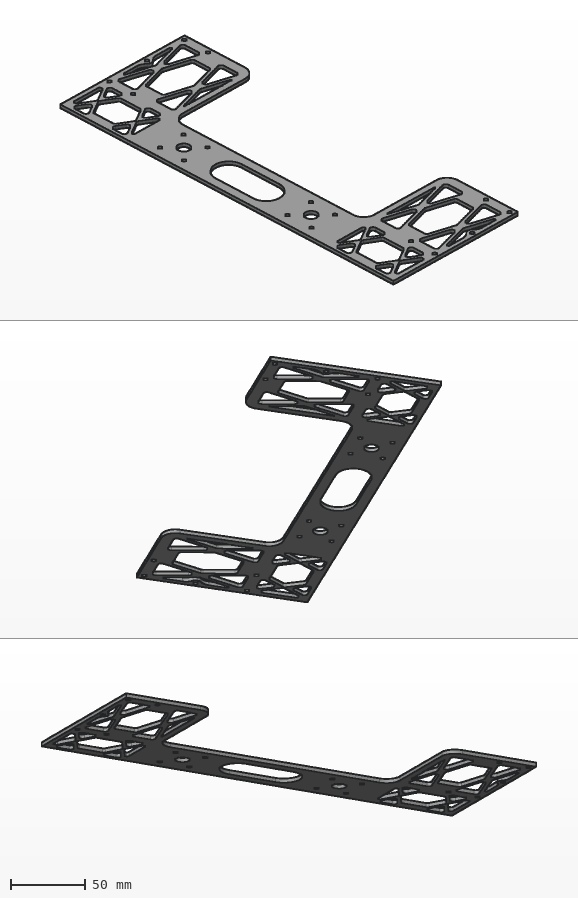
import cadquery as cq
import math

length = 314.0
depth = 120.0
thickness = 3.0
arm_width = 67.0
bridge_depth = 40.0
arm_corner_radius = 10.0

bridge_middle = bridge_depth / 2
slot_length = 60.0
slot_width = 24.8
motor_offset = 60.0
shaft_hole_diameter = 10.0
screw_hole_diameter = 3.0
motor_screw_pitch = 22.5

outer_screw_inset = 3.8
inner_screw_inset = 26.0
screw_row_pitch = 36.0
middle_screw_y = 79.8

node_inset = 15.0
node_pitch = 36.0
panel_inner_border = 61.5
corner_radius = 2.0
triangle_corner_radius = 2.32

rear_panel = {
    "middle_y": middle_screw_y,
    "slope": 0.29,
    "strut_width": 2.8,
    "triangle_half_depth": 31.7,
    "apex_gap": 0.0,
    "hexagon_half_depth": 23.0,
    "outer_border": 3.8,
    "outer_tip_radius": 0.7,
    "inner_tip_radius": 0.38,
}
front_panel = {
    "middle_y": 21.0,
    "slope": 0.59,
    "strut_width": 2.65,
    "triangle_half_depth": 18.0,
    "apex_gap": 4.5,
    "hexagon_half_depth": 13.0,
    "outer_border": 4.0,
    "outer_tip_radius": 1.0,
    "inner_tip_radius": 1.32,
}

lug_radius = 4.0
lug_blend_radius = 8.8


def make_plate():
    notch_half = length / 2 - arm_width
    plate = (
        cq.Workplane("XY")
        .rect(length, depth)
        .extrude(thickness)
        .translate((0, depth / 2, 0))
    )
    notch = (
        cq.Workplane("XY")
        .rect(2 * notch_half, depth)
        .extrude(thickness)
        .translate((0, bridge_depth + depth / 2, 0))
    )
    plate = plate.cut(notch)
    for x in (-notch_half, notch_half):
        for y in (bridge_depth, depth):
            corner = cq.NearestToPointSelector((x, y, thickness / 2))
            plate = plate.edges("|Z").edges(corner).fillet(arm_corner_radius)
    return plate


def round_holes(points, diameter):
    return cq.Workplane("XY").pushPoints(points).circle(diameter / 2).extrude(thickness)


def rounded_prism(points, radius):
    return cq.Workplane("XY").polyline(points).close().extrude(thickness).edges("|Z").fillet(radius)


def cut_bridge(plate):
    slot = (
        cq.Workplane("XY")
        .center(0, bridge_middle)
        .slot2D(slot_length, slot_width)
        .extrude(thickness)
    )
    plate = plate.cut(slot)
    half = motor_screw_pitch / 2
    for x in (-motor_offset, motor_offset):
        screws = [(x + i * half, bridge_middle + j * half) for i in (-1, 1) for j in (-1, 1)]
        plate = plate.cut(round_holes([(x, bridge_middle)], shaft_hole_diameter))
        plate = plate.cut(round_holes(screws, screw_hole_diameter))
    return plate


def panel_openings(panel):
    """Triangles, centre hexagon, outer side and inner side openings of one truss panel."""
    y = panel["middle_y"]
    slope = panel["slope"]
    half = panel["hexagon_half_depth"]
    first = node_inset
    second = node_inset + node_pitch
    triangle_half_width = slope * (panel["triangle_half_depth"] - panel["apex_gap"])
    node_half = panel["strut_width"] * math.sqrt(1 + slope**2) - slope * panel["apex_gap"]
    reach = node_half + slope * half

    triangles = []
    for node in (first, second):
        for side in (-1, 1):
            base_y = y + side * panel["triangle_half_depth"]
            corners = [
                (node - triangle_half_width, base_y),
                (node + triangle_half_width, base_y),
                (node, y + side * panel["apex_gap"]),
            ]
            triangles.append(rounded_prism(corners, triangle_corner_radius))

    hexagon = rounded_prism(
        [
            (first + node_half, y),
            (first + reach, y + half),
            (second - reach, y + half),
            (second - node_half, y),
            (second - reach, y - half),
            (first + reach, y - half),
        ],
        corner_radius,
    )

    def side_opening(border, node, direction, tip_radius):
        corners = [
            (border, y - half),
            (border, y + half),
            (node + direction * reach, y + half),
            (node + direction * node_half, y),
            (node + direction * reach, y - half),
        ]
        prism = cq.Workplane("XY").polyline(corners).close().extrude(thickness)
        tips = prism.edges("|Z").filter(lambda edge: abs(edge.Center().y - y) > half / 2)
        prism = tips.fillet(tip_radius)
        node_corner = cq.NearestToPointSelector((node + direction * node_half, y, thickness / 2))
        prism = prism.edges("|Z").edges(node_corner).fillet(corner_radius)
        return prism

    outer = side_opening(panel["outer_border"], first, -1, panel["outer_tip_radius"])
    inner = side_opening(panel_inner_border, second, 1, panel["inner_tip_radius"])
    return triangles + [hexagon, inner], outer


def leave_lug(opening):
    """Keep a round lug in the opening and blend it into the outer border."""
    border = rear_panel["outer_border"]
    lug = round_holes([(outer_screw_inset, middle_screw_y)], 2 * lug_radius)
    opening = opening.cut(lug)
    rise = math.sqrt(lug_radius**2 - (outer_screw_inset - border) ** 2)
    for side in (-1, 1):
        corner = cq.NearestToPointSelector((border, middle_screw_y + side * rise, thickness / 2))
        opening = opening.edges("|Z").edges(corner).fillet(lug_blend_radius)
    return opening


def arm_cutters():
    """All arm openings, with X measured from the outer end of the plate."""
    rear, rear_outer = panel_openings(rear_panel)
    front, front_outer = panel_openings(front_panel)
    screws = [(outer_screw_inset, middle_screw_y)]
    for side in (-1, 1):
        for inset in (outer_screw_inset, inner_screw_inset):
            screws.append((inset, middle_screw_y + side * screw_row_pitch))
    holes = round_holes(screws, screw_hole_diameter)
    return rear + front + [leave_lug(rear_outer), front_outer, holes]


result = cut_bridge(make_plate())
for cutter in arm_cutters():
    left = cutter.translate((-length / 2, 0, 0))
    result = result.cut(left).cut(left.mirror("YZ"))